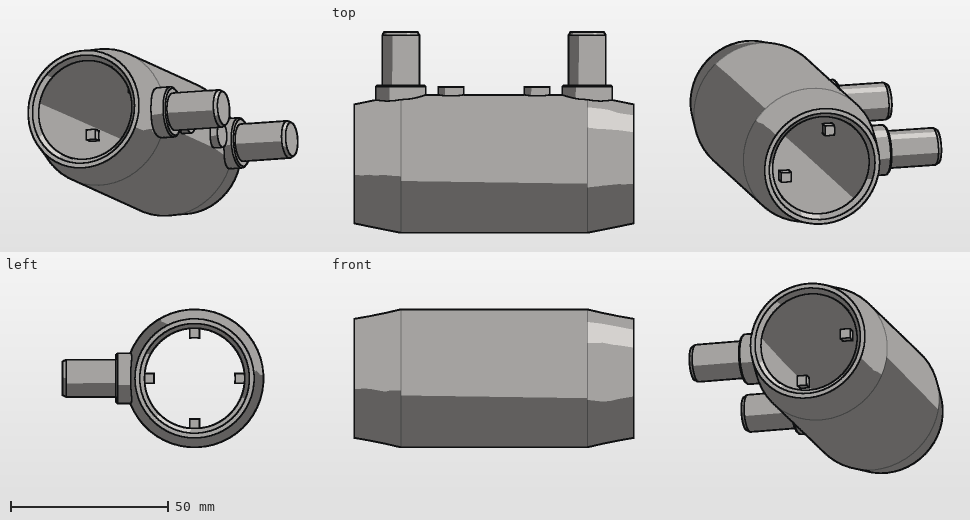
import cadquery as cq

LENGTH = 89.0
OUTER_RADIUS = 22.0
END_RADIUS = 19.0
TAPER_LENGTH = 14.9
BORE_RADIUS = 15.9
BORE_LEAD_IN_RADIUS = 17.4
BORE_LEAD_IN_DEPTH = 1.5

STOP_COUNT = 4
STOP_TIP_RADIUS = 12.9
STOP_WIDTH = 3.2

TERMINAL_X = LENGTH / 2 - TAPER_LENGTH
TERMINAL_TOP = 42.0
PIN_RADIUS = 6.0
PIN_CHAMFER_HEIGHT = 1.2
PIN_CHAMFER_INSET = 0.6
COLLAR_RADIUS = 8.0
COLLAR_TOP = 25.0
COLLAR_CHAMFER = 0.5

BUTTON_X = 13.7
BUTTON_RADIUS = 4.1
BUTTON_TOP = COLLAR_TOP - COLLAR_CHAMFER

ROOT_Y = (BORE_RADIUS + END_RADIUS) / 2


def cylinder_x(radius, length):
    """Cylinder along X, centred on the origin."""
    return cq.Workplane("YZ").circle(radius).extrude(length / 2, both=True)


def make_sleeve():
    """Tube with tapered ends and a conical lead-in at each end of the bore."""
    end = LENGTH / 2
    taper_start = end - TAPER_LENGTH
    lead_in_start = end - BORE_LEAD_IN_DEPTH
    profile = (
        cq.Workplane("XY")
        .moveTo(-lead_in_start, BORE_RADIUS)
        .lineTo(-end, BORE_LEAD_IN_RADIUS)
        .lineTo(-end, END_RADIUS)
        .lineTo(-taper_start, OUTER_RADIUS)
        .lineTo(taper_start, OUTER_RADIUS)
        .lineTo(end, END_RADIUS)
        .lineTo(end, BORE_LEAD_IN_RADIUS)
        .lineTo(lead_in_start, BORE_RADIUS)
        .close()
    )
    return profile.revolve(360, (0, 0, 0), (1, 0, 0))


def make_stops():
    """Square blocks reaching from the sleeve wall to a common tip circle."""
    wall_radius = (BORE_RADIUS + OUTER_RADIUS) / 2
    ring = cylinder_x(wall_radius, STOP_WIDTH).cut(cylinder_x(STOP_TIP_RADIUS, STOP_WIDTH))
    spokes = cq.Workplane("XY")
    for index in range(STOP_COUNT):
        spoke = cq.Workplane("XY").box(
            STOP_WIDTH, STOP_WIDTH, OUTER_RADIUS, centered=(True, True, False)
        )
        spokes = spokes.union(spoke.rotate((0, 0, 0), (1, 0, 0), index * 360 / STOP_COUNT))
    return ring.intersect(spokes)


def make_terminal(x):
    """Round pin with a bevelled tip on a wider bevelled collar."""
    profile = (
        cq.Workplane("XY", origin=(x, 0, 0))
        .moveTo(0, ROOT_Y)
        .lineTo(COLLAR_RADIUS, ROOT_Y)
        .lineTo(COLLAR_RADIUS, COLLAR_TOP - COLLAR_CHAMFER)
        .lineTo(COLLAR_RADIUS - COLLAR_CHAMFER, COLLAR_TOP)
        .lineTo(PIN_RADIUS, COLLAR_TOP)
        .lineTo(PIN_RADIUS, TERMINAL_TOP - PIN_CHAMFER_HEIGHT)
        .lineTo(PIN_RADIUS - PIN_CHAMFER_INSET, TERMINAL_TOP)
        .lineTo(0, TERMINAL_TOP)
        .close()
    )
    return profile.revolve(360, (0, 0, 0), (0, 1, 0))


def make_button(x):
    """Short plain cylinder along Y."""
    base = cq.Workplane("XZ", origin=(x, ROOT_Y, 0)).circle(BUTTON_RADIUS)
    return base.extrude(ROOT_Y - BUTTON_TOP)


result = make_sleeve()
for side in (-1, 1):
    result = result.union(make_terminal(side * TERMINAL_X))
    result = result.union(make_button(side * BUTTON_X))

result = result.cut(cylinder_x(BORE_RADIUS, LENGTH)).union(make_stops())